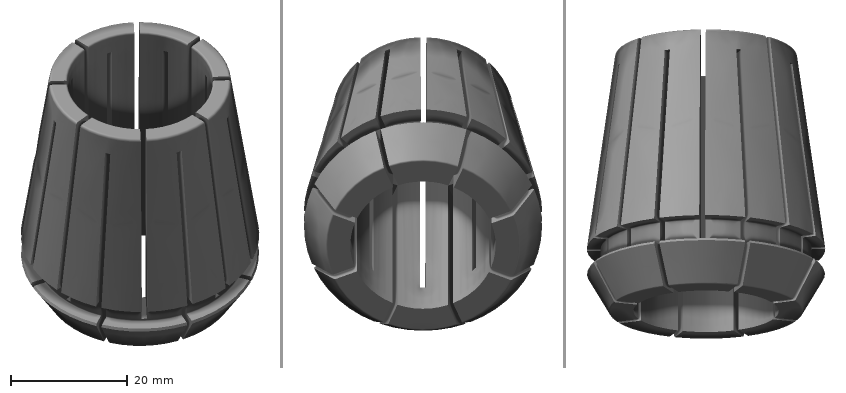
import cadquery as cq
import math

height = 46.0
outer_radius = 20.495
bore_radius = 12.49

nose_angle = 30.0
flange_height = 7.1
rim_chamfer = 0.5
flange_sharp_radius = 20.7
nose_slope = math.radians(nose_angle)
flange_top_radius = flange_sharp_radius - rim_chamfer
rim_radius = flange_sharp_radius - rim_chamfer * math.sin(nose_slope)
rim_height = flange_height - rim_chamfer * math.cos(nose_slope)
bottom_radius = rim_radius - rim_height * math.tan(nose_slope)

groove_radius = 18.12
taper_start = 11.15

taper_angle = 8.0
top_radius = outer_radius - (height - taper_start) * math.tan(math.radians(taper_angle))

top_edge_fillet = 0.5
bore_edge_fillet = 0.35
groove_fillet = 0.2
bottom_edge_fillet = 0.3

slots_per_end = 8
slot_pitch = 360.0 / slots_per_end
slot_width = 0.95
bottom_slot_end = 42.5
top_slot_end = 7.55


def collet_body():
    """Turned body with the bore, the rim chamfer and the rounded edges."""
    profile = [
        (bore_radius, 0),
        (bottom_radius, 0),
        (rim_radius, rim_height),
        (flange_top_radius, flange_height),
        (groove_radius, flange_height),
        (groove_radius, taper_start),
        (outer_radius, taper_start),
        (top_radius, height),
        (bore_radius, height),
    ]
    rounded_corners = [
        (bottom_radius, 0, bottom_edge_fillet),
        (groove_radius, flange_height, groove_fillet),
        (groove_radius, taper_start, groove_fillet),
        (top_radius, height, top_edge_fillet),
        (bore_radius, height, bore_edge_fillet),
    ]
    outline = cq.Wire.makePolygon([cq.Vector(r, 0, z) for r, z in profile], close=True)
    for r, z, fillet in rounded_corners:
        corner = min(outline.Vertices(), key=lambda v: math.hypot(v.X - r, v.Z - z))
        outline = outline.fillet2D(fillet, [corner])
    axis_start = cq.Vector(0, 0, 0)
    axis_end = cq.Vector(0, 0, 1)
    return cq.Workplane(cq.Solid.revolve(outline, [], 360, axis_start, axis_end))


def radial_slots(low, high, first_angle):
    """Ring of radial slot cutters that run from the axis past the outer side."""
    return (
        cq.Workplane("XY", origin=(0, 0, low))
        .polarArray(outer_radius / 2, first_angle, 360, slots_per_end)
        .rect(outer_radius + slot_width, slot_width)
        .extrude(high - low)
    )


bottom_slots = radial_slots(0, bottom_slot_end, 0)
top_slots = radial_slots(top_slot_end, height, slot_pitch / 2)
result = collet_body().cut(bottom_slots).cut(top_slots)